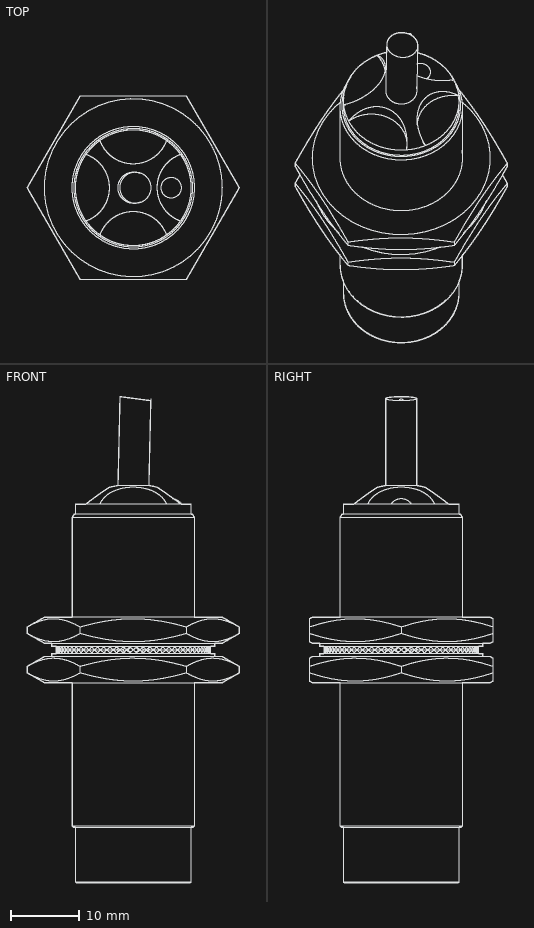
import cadquery as cq
import math


barrel_radius = 9.0
nose_radius = 8.5
nose_length = 8.15
nose_edge_chamfer = 0.15
barrel_top = 54.1
barrel_bottom_chamfer = 0.2
barrel_top_chamfer = 0.3
barrel_top_chamfer_height = 0.5

cap_radius = nose_radius
cap_top = 55.6
dome_apex = 58.5
scoop_count = 4
scoop_radius = 5.2
scoop_offset = 8.7

lamp_radius = 1.5
lamp_height = 0.8
lamp_offset = 5.6

cable_radius = 2.3
cable_embedment = 1.4
cable_root = dome_apex - cable_embedment
cable_end = 71.4
cable_lean = 1.3
cable_cut_angle = 7.5

across_flats = 27.0
corner_radius = across_flats / math.sqrt(3)
hex_height = 3.85
hex_face_radius = 13.05
hex_chamfer_angle = 30.0
flange_radius = 12.0
flange_height = 0.4
tooth_ring_radius = 11.35
tooth_ring_height = 0.535
tooth_depth = 0.4
groove_overrun = 0.7
tooth_count = 72
mating_plane = 34.2
nut_height = hex_height + flange_height + tooth_ring_height


def revolve_profile(profile):
    """Turn a closed (radius, z) wire on the XZ plane about the Z axis."""
    return profile.close().revolve(360, (0, 0, 0), (0, 1, 0))


def make_barrel():
    profile = (
        cq.Workplane("XZ")
        .moveTo(0, 0)
        .lineTo(nose_radius - nose_edge_chamfer, 0)
        .lineTo(nose_radius, nose_edge_chamfer)
        .lineTo(nose_radius, nose_length)
        .lineTo(barrel_radius - barrel_bottom_chamfer, nose_length)
        .lineTo(barrel_radius, nose_length + barrel_bottom_chamfer)
        .lineTo(barrel_radius, barrel_top - barrel_top_chamfer_height)
        .lineTo(barrel_radius - barrel_top_chamfer, barrel_top)
        .lineTo(0, barrel_top)
    )
    return revolve_profile(profile)


def dome_cap(radius, height, base):
    """Spherical cap standing on the plane z = base, centred on the Z axis."""
    sphere_radius = (radius**2 + height**2) / (2 * height)
    half_angle = math.asin(radius / sphere_radius) / 2
    arc_middle = (
        sphere_radius * math.sin(half_angle),
        base + height - sphere_radius * (1 - math.cos(half_angle)),
    )
    profile = (
        cq.Workplane("XZ")
        .moveTo(0, base)
        .lineTo(radius, base)
        .threePointArc(arc_middle, (0, base + height))
    )
    return revolve_profile(profile)


def make_end_cap():
    collar_height = cap_top - barrel_top
    collar = cq.Workplane("XY").workplane(offset=barrel_top).circle(cap_radius).extrude(collar_height)
    dome = dome_cap(cap_radius, dome_apex - cap_top, cap_top)
    scoops = (
        cq.Workplane("XY")
        .workplane(offset=cap_top)
        .polarArray(scoop_offset, 0, 360, scoop_count)
        .circle(scoop_radius)
        .extrude(dome_apex - cap_top)
    )
    return collar.union(dome.cut(scoops))


def make_lamp():
    return dome_cap(lamp_radius, lamp_height, cap_top).translate((lamp_offset, 0, 0))


def make_cable():
    root = (0, 0, cable_root)
    overlength = cable_end + cable_radius - cable_root
    cable = (
        cq.Workplane("XY", origin=root)
        .circle(cable_radius)
        .extrude(overlength)
        .rotate(root, (0, 1, cable_root), cable_lean)
    )
    lean_shift = (cable_end - cable_root) * math.tan(math.radians(cable_lean))
    peak = (lean_shift - cable_radius, 0, cable_end)
    trim_size = 4 * cable_radius
    trim = (
        cq.Workplane("XY", origin=peak)
        .rect(trim_size, trim_size)
        .extrude(trim_size)
        .rotate(peak, (peak[0], 1, peak[2]), cable_cut_angle)
    )
    return cable.cut(trim)


def make_sensor():
    return make_barrel().union(make_end_cap()).union(make_lamp()).union(make_cable())


def hex_chamfer_envelope():
    """Double cone that bevels both faces of the hexagon down to its corners."""
    drop = (corner_radius - hex_face_radius) * math.tan(math.radians(hex_chamfer_angle))
    profile = (
        cq.Workplane("XZ")
        .moveTo(0, 0)
        .lineTo(hex_face_radius, 0)
        .lineTo(corner_radius, drop)
        .lineTo(corner_radius, hex_height - drop)
        .lineTo(hex_face_radius, hex_height)
        .lineTo(0, hex_height)
    )
    return revolve_profile(profile)


def tooth_gap():
    """V groove along +X: a flat-sided pyramid, so that flanks and crests run radially from the axis."""
    reach = tooth_ring_radius + groove_overrun
    half_width = reach * math.tan(math.pi / tooth_count)
    depth = tooth_depth * reach / tooth_ring_radius

    axis_point = cq.Vector(0, 0, nut_height)
    left_crest = cq.Vector(reach, half_width, nut_height)
    right_crest = cq.Vector(reach, -half_width, nut_height)
    root = cq.Vector(reach, 0, nut_height - depth)
    facets = [
        (axis_point, left_crest, right_crest),
        (axis_point, root, left_crest),
        (axis_point, right_crest, root),
        (left_crest, root, right_crest),
    ]
    faces = [cq.Face.makeFromWires(cq.Wire.makePolygon(facet, close=True)) for facet in facets]
    return cq.Solid.makeSolid(cq.Shell.makeShell(faces))


def make_nut():
    """Nut resting on z = 0 with its teeth facing +Z and a tooth crest along +X."""
    hexagon = cq.Workplane("XY").polygon(6, 2 * corner_radius).extrude(hex_height)
    flange = cq.Workplane("XY").workplane(offset=hex_height).circle(flange_radius).extrude(flange_height)
    tooth_ring = flange.faces(">Z").workplane().circle(tooth_ring_radius).extrude(tooth_ring_height)
    bore = cq.Workplane("XY").circle(barrel_radius).extrude(nut_height)
    blank = hexagon.intersect(hex_chamfer_envelope()).union(tooth_ring).cut(bore)

    gap = tooth_gap()
    pitch_angle = 360 / tooth_count
    gaps = [
        gap.rotate(cq.Vector(0, 0, 0), cq.Vector(0, 0, 1), (index + 0.5) * pitch_angle)
        for index in range(tooth_count)
    ]
    return cq.Workplane(blank.val().cut(*gaps))


sensor = make_sensor()

nut = make_nut()
nuts = []
for flip_angle in (0, 180):
    placed_nut = (
        nut.translate((0, 0, -nut_height))
        .rotate((0, 0, 0), (1, 0, 0), flip_angle)
        .translate((0, 0, mating_plane))
    )
    nuts.append(placed_nut.val())

result = cq.Compound.makeCompound([sensor.val(), *nuts])